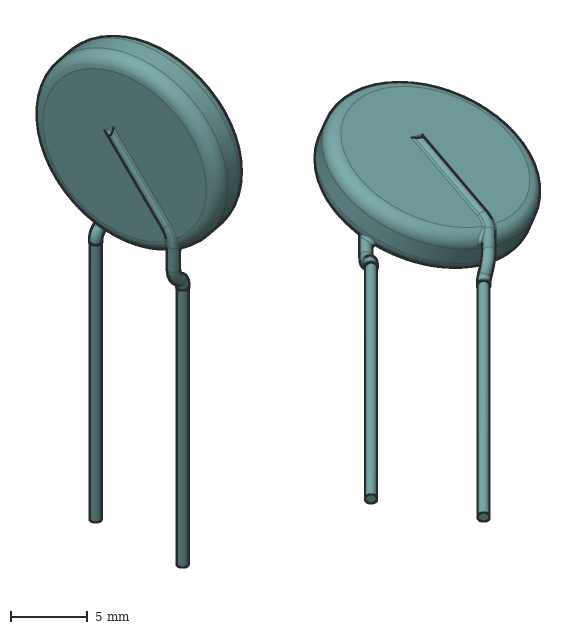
import cadquery as cq
import math

total_height = 40.0
disc_diameter = 15.0
disc_thickness = 3.32
rim_radius = 1.0
disc_center_z = total_height - disc_diameter / 2

wire_diameter = 0.8
coated_diameter = 0.9
overall_depth = 3.8
lead_pitch = 7.5
lead_x = lead_pitch / 2
upper_y = overall_depth / 2 - coated_diameter / 2
lower_y = wire_diameter / 2

crimp_top_z = 24.75
crimp_upper_radius = 1.6
crimp_lower_radius = 0.8
coating_tail = 0.15
crimp_radius_sum = crimp_upper_radius + crimp_lower_radius
crimp_angle = math.acos(1 - (upper_y - lower_y) / crimp_radius_sum)
crimp_bottom_z = crimp_top_z - crimp_radius_sum * math.sin(crimp_angle)
coating_end_z = crimp_bottom_z - coating_tail

slant_angle = math.radians(37)
slant_bend_radius = 2.4
slant_bend_start_z = 26.7
slant_end_x = -1.25

face_y = disc_thickness / 2
tip_ramp_length = 0.35
tip_ramp_height = overall_depth / 2 - face_y

blend_radius = 0.2
selection_margin = 0.05


def make_disc():
    return (
        cq.Workplane("XZ", origin=(0, face_y, 0))
        .center(0, disc_center_z)
        .circle(disc_diameter / 2)
        .extrude(disc_thickness)
        .edges()
        .fillet(rim_radius)
    )


def slant_bend_point(angle):
    """Point on the bend after it has turned by the given angle from vertical."""
    x = lead_x - slant_bend_radius * (1 - math.cos(angle))
    z = slant_bend_start_z + slant_bend_radius * math.sin(angle)
    return cq.Vector(x, -upper_y, z)


def crimp_upper_point(angle):
    """Point on the upper crimp arc, turned by the given angle from vertical."""
    y = -upper_y + crimp_upper_radius * (1 - math.cos(angle))
    return cq.Vector(lead_x, y, crimp_top_z - crimp_upper_radius * math.sin(angle))


def crimp_lower_point(angle):
    """Point on the lower crimp arc, at the given angle from vertical."""
    y = -lower_y - crimp_lower_radius * (1 - math.cos(angle))
    return cq.Vector(lead_x, y, crimp_bottom_z + crimp_lower_radius * math.sin(angle))


def slant_end_point():
    bend_end = slant_bend_point(slant_angle)
    rise = (bend_end.x - slant_end_x) / math.tan(slant_angle)
    return cq.Vector(slant_end_x, -upper_y, bend_end.z + rise)


def make_coated_path():
    bend_start = slant_bend_point(0)
    bend_end = slant_bend_point(slant_angle)
    slant_end = slant_end_point()
    crimp_top = crimp_upper_point(0)
    crimp_middle = crimp_upper_point(crimp_angle)
    crimp_bottom = crimp_lower_point(0)
    coating_end = cq.Vector(lead_x, -lower_y, coating_end_z)
    return cq.Wire.assembleEdges([
        cq.Edge.makeLine(coating_end, crimp_bottom),
        cq.Edge.makeThreePointArc(crimp_bottom, crimp_lower_point(crimp_angle / 2), crimp_middle),
        cq.Edge.makeThreePointArc(crimp_middle, crimp_upper_point(crimp_angle / 2), crimp_top),
        cq.Edge.makeLine(crimp_top, bend_start),
        cq.Edge.makeThreePointArc(bend_start, slant_bend_point(slant_angle / 2), bend_end),
        cq.Edge.makeLine(bend_end, slant_end),
    ])


def make_tip_cutter():
    """Wedge outside the ramp, twice the ramp's size so that it clears the coating."""
    slant_end = slant_end_point()
    outward = cq.Vector(0, -1, 0)
    along_lead = cq.Vector(-math.sin(slant_angle), 0, math.cos(slant_angle))
    ramp_plane = cq.Plane(
        origin=(slant_end.x, -face_y, slant_end.z),
        xDir=along_lead,
        normal=along_lead.cross(outward),
    )
    cutter_length = 2 * tip_ramp_length
    cutter_height = 2 * tip_ramp_height
    return (
        cq.Workplane(ramp_plane)
        .polyline([(0, 0), (-cutter_length, cutter_height), (0, cutter_height)])
        .close()
        .extrude(coated_diameter, both=True)
    )


def make_front_lead():
    coated_wire = (
        cq.Workplane("XY", origin=(lead_x, -lower_y, coating_end_z))
        .circle(coated_diameter / 2)
        .sweep(cq.Workplane(make_coated_path()))
        .cut(make_tip_cutter())
    )
    bare_wire = (
        cq.Workplane("XY")
        .center(lead_x, -lower_y)
        .circle(wire_diameter / 2)
        .extrude(coating_end_z)
    )
    return coated_wire.union(bare_wire)


def blend_lead_into_face(part, side):
    """Blend one lead into its face and rim; side is -1 for the front face and 1 for the back."""
    slant_end = slant_end_point()
    reach = coated_diameter / 2 + selection_margin
    lead_outer_x = -side * (lead_x + reach)
    lead_inner_x = -side * (slant_end_x - reach)
    lead_box = cq.selectors.BoxSelector(
        (min(lead_outer_x, lead_inner_x), side * face_y - selection_margin, slant_bend_start_z),
        (max(lead_outer_x, lead_inner_x), side * face_y + selection_margin, slant_end.z + reach),
        boundingbox=True,
    )
    return part.edges(lead_box).fillet(blend_radius)


front_lead = make_front_lead()
back_lead = front_lead.rotate((0, 0, 0), (0, 0, 1), 180)
result = make_disc().union(front_lead).union(back_lead)
for face_side in (-1, 1):
    result = blend_lead_into_face(result, face_side)